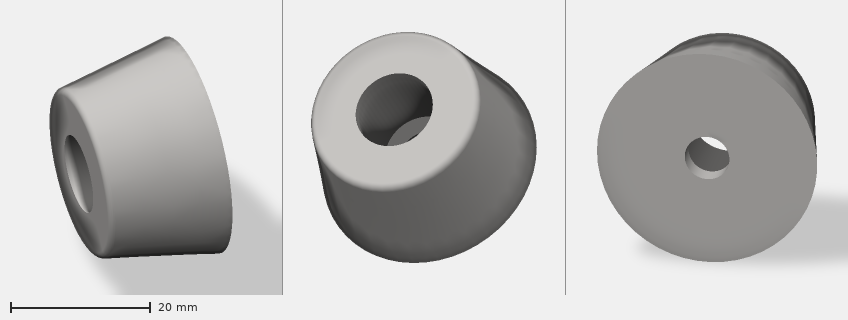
import cadquery as cq

base_diameter = 32.0
tip_diameter = 25.0
length = 17.4
tip_rounding = 1.0

bore_diameter = 6.5
counterbore_diameter = 11.52
floor_thickness = 3.0
counterbore_depth = length - floor_thickness


def tapered_body():
    """Solid cone frustum from the tip face at Y = 0 to the base, with a rounded tip edge."""
    profile = (
        cq.Workplane("XY")
        .lineTo(tip_diameter / 2, 0)
        .lineTo(base_diameter / 2, length)
        .lineTo(0, length)
        .close()
    )
    body = profile.revolve(360, (0, 0, 0), (0, 1, 0))
    return body.faces("<Y").edges().fillet(tip_rounding)


def cylinder_from_tip(diameter, depth):
    """Cylinder on the part axis, running from the tip face toward the base."""
    return cq.Workplane("XZ").circle(diameter / 2).extrude(-depth)


result = (
    tapered_body()
    .cut(cylinder_from_tip(bore_diameter, length))
    .cut(cylinder_from_tip(counterbore_diameter, counterbore_depth))
)